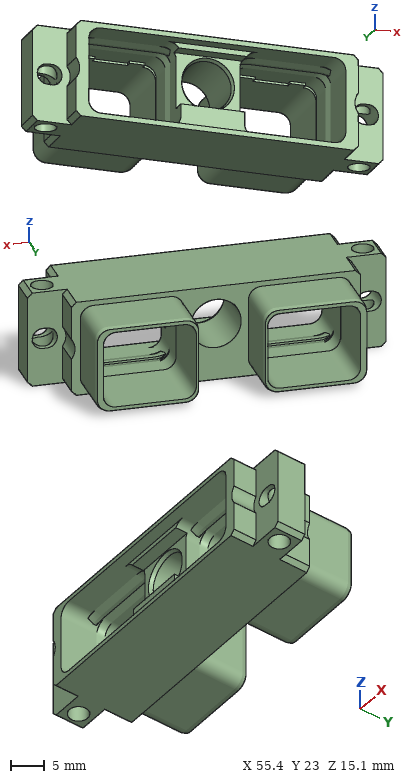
import cadquery as cq
import math


BODY_WIDTH = 44.6
BODY_DEPTH = 14.1
HEIGHT = 15.14
EDGE_CHAMFER = 0.75
EAR_SPAN = 55.38
EAR_START = 4.1
EAR_THICKNESS = 5.0

GROOVE_HEIGHT = 3.2
GROOVE_DEPTH = 0.55

SLOT_X = 25.0
SLOT_WIDTH = 3.87
SLOT_HEIGHT = 3.23
PIN_HOLE_X = 24.75
PIN_HOLE_DIAMETER = 3.35

TOTAL_DEPTH = 23.01
SHELL_X = 12.97
SHELL_WIDTH = 15.9
SHELL_HEIGHT = 13.5
SHELL_RADIUS = 2.0
SHELL_TAPER_LENGTH = 0.7
SHELL_TAPER_INSET = 0.13

RECESS_WIDTH = 40.6
RECESS_HEIGHT = 13.5
RECESS_RADIUS = 1.9
RECESS_DEPTH = 1.95
CELL_INNER_X = 5.05
CELL_WIDTH = RECESS_WIDTH / 2 - CELL_INNER_X
CELL_X = CELL_INNER_X + CELL_WIDTH / 2
STEP_Y = 11.85
STEP_INSET_X = 0.12
STEP_INSET_Z = 0.36

DRAFT_ANGLE = 15.0
DRAFT_LENGTH = 1.27
DRAFT_INSET = DRAFT_LENGTH * math.tan(math.radians(DRAFT_ANGLE))
TAPER_START = 6.62

RIDGE_START = 4.4
RIDGE_FLAT = 0.55
RIDGE_CORNER_REACH = 2.4
RIDGE_BASE_RADIUS = 3.8
RIDGE_CREST_RADIUS = 6.3

RIB_INNER_X = 2.75
RIB_OUTER_X = 5.2
RIB_LENGTH = 1.0

WEB_FACE_Y = 4.05
LOWER_LEDGE_Z = -2.9
UPPER_LEDGE_Z = 5.93
WEB_OVERLAP = 1.0
BORE_Z = 1.53
BORE_DIAMETER = 7.8
BORE_CHAMFER = 0.265
BORE_CHAMFER_LENGTH = 0.7


def xz_plane(y):
    """Work plane parallel to XZ at depth y, extruding towards +Y (local x is mirrored)."""
    return cq.Workplane(cq.Plane((0, y, 0), xDir=(-1, 0, 0), normal=(0, 1, 0)))


def block(width, height, y_start, y_end, x=0.0):
    """Box centred on z = 0 between two depths."""
    return xz_plane(y_start).center(-x, 0).rect(width, height).extrude(y_end - y_start)


def rounded_block(width, height, radius, y_start, y_end, x=0.0):
    return block(width, height, y_start, y_end, x).edges("|Y").fillet(radius)


def rounded_outline(width, height, radius):
    return cq.Sketch().rect(width, height).vertices().fillet(radius)


def tapered_block(start, end, y_start, y_end, x):
    """Loft between two rounded rectangles, each given as (width, height, corner radius)."""
    end_offset = cq.Location(cq.Vector(0, 0, y_end - y_start))
    outlines = (rounded_outline(*start), rounded_outline(*end).moved(end_offset))
    return xz_plane(y_start).center(-x, 0).placeSketch(*outlines).loft()


def make_body():
    core = block(BODY_WIDTH, HEIGHT, 0, BODY_DEPTH).edges("|Y").chamfer(EDGE_CHAMFER)
    groove_radius = ((GROOVE_HEIGHT / 2) ** 2 + GROOVE_DEPTH**2) / (2 * GROOVE_DEPTH)
    groove_x = BODY_WIDTH / 2 - GROOVE_DEPTH + groove_radius
    grooves = xz_plane(0).pushPoints([(-groove_x, 0), (groove_x, 0)]).circle(groove_radius)
    core = core.cut(grooves.extrude(BODY_DEPTH))
    ears = block(EAR_SPAN, HEIGHT, EAR_START, EAR_START + EAR_THICKNESS)
    return core.union(ears.edges("|Y").chamfer(EDGE_CHAMFER))


def make_ear_holes():
    slots = xz_plane(0).pushPoints([(-SLOT_X, 0), (SLOT_X, 0)]).slot2D(SLOT_WIDTH, SLOT_HEIGHT)
    pin_y = EAR_START + EAR_THICKNESS / 2
    pins = (
        cq.Workplane("XY", origin=(0, 0, -HEIGHT / 2))
        .pushPoints([(-PIN_HOLE_X, pin_y), (PIN_HOLE_X, pin_y)])
        .circle(PIN_HOLE_DIAMETER / 2)
        .extrude(HEIGHT)
    )
    return slots.extrude(BODY_DEPTH).union(pins)


def make_shell(side):
    x = side * SHELL_X
    taper_start = TOTAL_DEPTH - SHELL_TAPER_LENGTH
    outline = (SHELL_WIDTH, SHELL_HEIGHT, SHELL_RADIUS)
    tip_outline = (SHELL_WIDTH - 2 * SHELL_TAPER_INSET, SHELL_HEIGHT - 2 * SHELL_TAPER_INSET, SHELL_RADIUS)
    straight = rounded_block(*outline, BODY_DEPTH, taper_start, x)
    return straight.union(tapered_block(outline, tip_outline, taper_start, TOTAL_DEPTH, x))


def make_ridge_opening(x):
    """Space left between the floor and ceiling ridges, wider than the cell itself."""

    def outline(height, radius):
        return (CELL_WIDTH - 2 * RIDGE_CORNER_REACH + 2 * radius, height, radius)

    base = outline(RECESS_HEIGHT, RIDGE_BASE_RADIUS)
    crest = outline(RECESS_HEIGHT - 2 * DRAFT_INSET, RIDGE_CREST_RADIUS)
    crest_start = RIDGE_START + DRAFT_LENGTH
    ramp = tapered_block(base, crest, RIDGE_START, crest_start, x)
    return ramp.union(rounded_block(*crest, crest_start, crest_start + RIDGE_FLAT, x))


def make_ribs(x, step_bottom_z):
    """Pair of ribs that fill the corner between the cell ceiling and the step."""
    rib_x = (RIB_INNER_X + RIB_OUTER_X) / 2
    rib_z = step_bottom_z + STEP_INSET_Z / 2
    return (
        xz_plane(STEP_Y - RIB_LENGTH)
        .pushPoints([(-x - rib_x, rib_z), (-x + rib_x, rib_z)])
        .rect(RIB_OUTER_X - RIB_INNER_X, STEP_INSET_Z)
        .extrude(RIB_LENGTH)
    )


def make_cell(side):
    """Opening through the body and one shell: mouth, ridges, taper, throat, step and window."""
    x = side * CELL_X
    mouth = (CELL_WIDTH, RECESS_HEIGHT, RECESS_RADIUS)
    throat = (CELL_WIDTH - 2 * DRAFT_INSET, RECESS_HEIGHT - 2 * DRAFT_INSET, RECESS_RADIUS)
    window = (throat[0] - 2 * STEP_INSET_X, throat[1] - 2 * STEP_INSET_Z, RECESS_RADIUS)
    ridge_end = RIDGE_START + DRAFT_LENGTH + RIDGE_FLAT
    throat_start = TAPER_START + DRAFT_LENGTH

    ridge_zone = rounded_block(*mouth, RIDGE_START, ridge_end, x).intersect(make_ridge_opening(x))
    cell = rounded_block(*mouth, 0, RIDGE_START, x).union(ridge_zone)
    cell = cell.union(rounded_block(*mouth, ridge_end, TAPER_START, x))
    cell = cell.union(tapered_block(mouth, throat, TAPER_START, throat_start, x))
    cell = cell.union(rounded_block(*throat, throat_start, STEP_Y, x))
    cell = cell.union(rounded_block(*window, STEP_Y, TOTAL_DEPTH, x))
    return cell.cut(make_ribs(x, window[1] / 2))


def make_web_opening():
    """Gap between the two ledges, and the bore through the wall behind it."""
    gap_height = UPPER_LEDGE_Z - LOWER_LEDGE_Z
    gap_z = (UPPER_LEDGE_Z + LOWER_LEDGE_Z) / 2
    gap_width = 2 * (CELL_INNER_X + WEB_OVERLAP)
    gap = xz_plane(0).center(0, gap_z).rect(gap_width, gap_height).extrude(WEB_FACE_Y)
    bore = xz_plane(0).center(0, BORE_Z).circle(BORE_DIAMETER / 2).extrude(BODY_DEPTH)
    lead_in = (
        xz_plane(WEB_FACE_Y)
        .center(0, BORE_Z)
        .circle(BORE_DIAMETER / 2 + BORE_CHAMFER)
        .workplane(offset=BORE_CHAMFER_LENGTH)
        .circle(BORE_DIAMETER / 2)
        .loft()
    )
    return gap.union(bore).union(lead_in)


SIDES = (-1, 1)
result = make_body().cut(make_ear_holes())
for side in SIDES:
    result = result.union(make_shell(side))
result = result.cut(rounded_block(RECESS_WIDTH, RECESS_HEIGHT, RECESS_RADIUS, 0, RECESS_DEPTH))
for side in SIDES:
    result = result.cut(make_cell(side))
result = result.cut(make_web_opening())